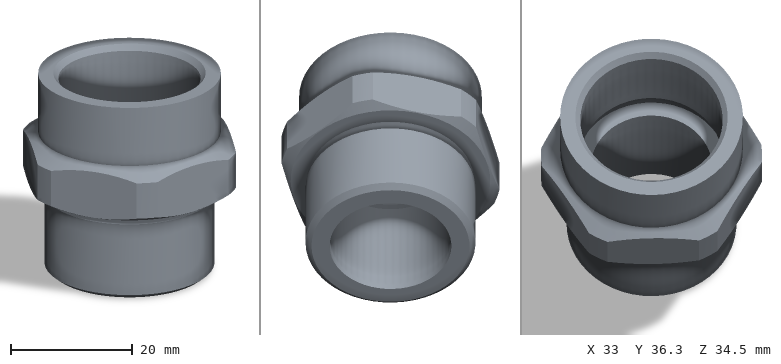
import cadquery as cq
import math

total_height = 34.5
hex_across_flats = 33.0
hex_corner_diameter = 36.28
hex_chamfer_angle = 30.0

spigot_top = 13.35
neck_height = 14.33
hex_bottom = 15.1
corner_bottom = 16.1
corner_top = 22.4

spigot_diameter = 27.9
end_diameter = 25.95
collar_diameter = 30.0
end_chamfer_height = 0.8

through_diameter = 20.0
bore_diameter = 23.35
relief_diameter = 25.0
mouth_chamfer_height = 0.95
bore_bottom = 21.22
relief_floor = 18.45

spigot_radius = spigot_diameter / 2
end_radius = end_diameter / 2
collar_radius = collar_diameter / 2
corner_radius = hex_corner_diameter / 2
bore_radius = bore_diameter / 2
relief_radius = relief_diameter / 2

hex_slope = math.tan(math.radians(hex_chamfer_angle))
collar_bottom = corner_top + (corner_radius - collar_radius) * hex_slope
hex_bottom_radius = corner_radius - (corner_bottom - hex_bottom) / hex_slope
neck_flare_radius = end_radius + (hex_bottom - neck_height)
relief_top = bore_bottom - (relief_radius - bore_radius)


def revolve_profile(points):
    """Turn a closed (radius, height) outline about the Z axis."""
    return cq.Workplane("XZ").polyline(points).close().revolve(360, (0, 0, 0), (0, 1, 0))


def make_spigot():
    """Lower end with its end chamfer, neck groove and flare up to the hexagon."""
    return revolve_profile([
        (0, 0),
        (end_radius, 0),
        (spigot_radius, end_chamfer_height),
        (spigot_radius, spigot_top),
        (end_radius, neck_height),
        (neck_flare_radius, hex_bottom),
        (0, hex_bottom),
    ])


def make_hex_and_collar():
    """Turned blank whose lower part is cut to a hexagon with flats facing +X and -X."""
    blank = revolve_profile([
        (0, hex_bottom),
        (hex_bottom_radius, hex_bottom),
        (corner_radius, corner_bottom),
        (corner_radius, corner_top),
        (collar_radius, collar_bottom),
        (collar_radius, total_height),
        (0, total_height),
    ])
    hexagon_prism = (
        cq.Workplane("XY")
        .polygon(6, hex_across_flats, circumscribed=True)
        .extrude(total_height)
    )
    return blank.intersect(hexagon_prism)


def make_bore():
    """Through hole, wider upper bore, relief groove at its floor and mouth chamfer."""
    through_hole = cq.Workplane("XY").circle(through_diameter / 2).extrude(total_height)
    upper_bore = revolve_profile([
        (0, relief_floor),
        (relief_radius, relief_floor),
        (relief_radius, relief_top),
        (bore_radius, bore_bottom),
        (bore_radius, total_height - mouth_chamfer_height),
        (relief_radius, total_height),
        (0, total_height),
    ])
    return through_hole.union(upper_bore)


result = make_spigot().union(make_hex_and_collar()).cut(make_bore())